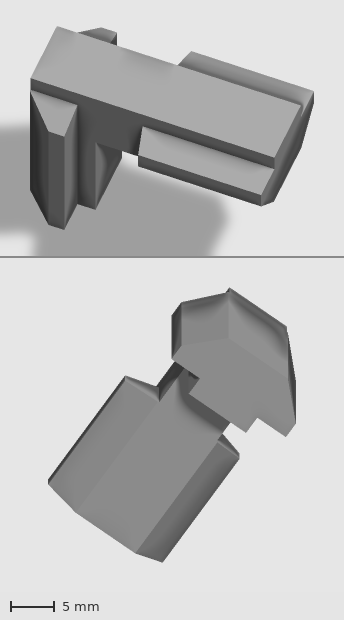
import cadquery as cq
import math

length = 30.0
height = 21.0
body_width = 8.0
overall_width = 16.0
arm_depth = 8.2
leg_thickness = 8.0

wing_drop = 2.2
leg_wing_length = 5.8
bevel = 3.85
arm_wing_start = 13.8
draft_angle = 15.0

half_body = body_width / 2
half_overall = overall_width / 2
end_slope = (half_overall - half_body) * math.tan(math.radians(draft_angle))
wing_top = height - wing_drop
arm_bottom = height - arm_depth


def make_body():
    """L-shaped core, centred on Y = 0."""
    outline = [
        (0, 0),
        (leg_thickness, 0),
        (leg_thickness, arm_bottom),
        (length, arm_bottom),
        (length, height),
        (0, height),
    ]
    return cq.Workplane("XZ").polyline(outline).close().extrude(half_body, both=True)


def make_leg_wings():
    """Upright wings with a bevelled front edge and a top sloping down outward."""
    plan = [
        (0, 0),
        (leg_wing_length, 0),
        (leg_wing_length, half_overall),
        (bevel, half_overall),
        (0, half_overall - bevel),
    ]
    side = [
        (0, 0),
        (half_overall, 0),
        (half_overall, wing_top - end_slope),
        (half_body, wing_top),
        (0, wing_top),
    ]
    upright = cq.Workplane("XY").polyline(plan).close().extrude(height)
    sloped = cq.Workplane("YZ").polyline(side).close().extrude(leg_wing_length)
    wing = upright.intersect(sloped)
    return wing.union(wing.mirror("XZ"))


def make_arm_wings():
    """Wings along the arm with a bevelled underside and a slanted inner end."""
    section = [
        (0, arm_bottom),
        (half_overall - bevel, arm_bottom),
        (half_overall, arm_bottom + bevel),
        (half_overall, wing_top),
        (0, wing_top),
    ]
    plan = [
        (arm_wing_start, 0),
        (length, 0),
        (length, half_overall),
        (arm_wing_start + end_slope, half_overall),
        (arm_wing_start, half_body),
    ]
    rail = cq.Workplane("YZ").polyline(section).close().extrude(length)
    slanted = cq.Workplane("XY").polyline(plan).close().extrude(height)
    wing = rail.intersect(slanted)
    return wing.union(wing.mirror("XZ"))


result = make_body().union(make_leg_wings()).union(make_arm_wings())